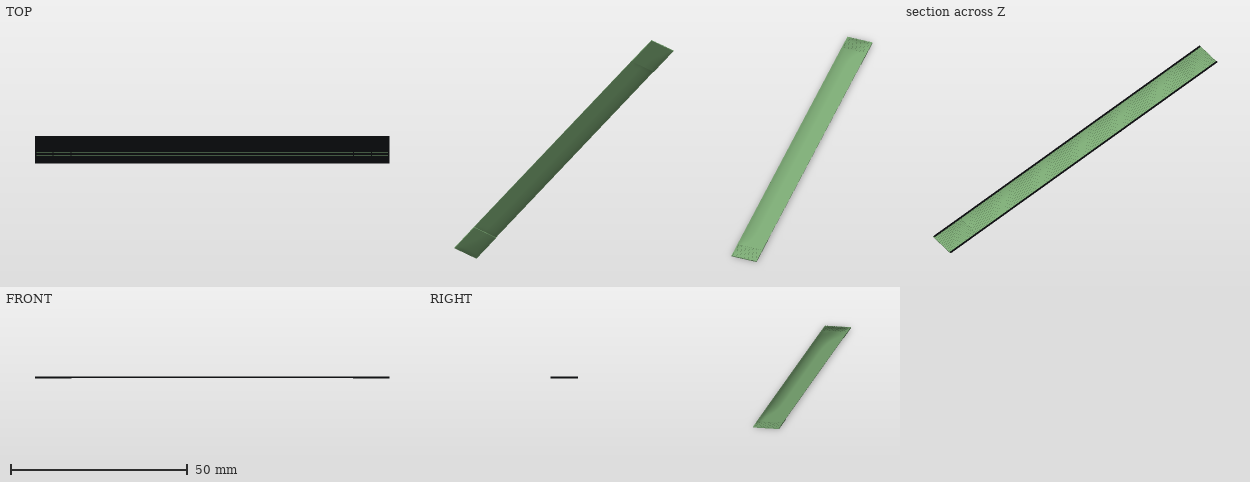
import cadquery as cq

cable_length = 100.0
conductor_count = 14
conductor_pitch = 0.5
conductor_width = 0.3
cable_width = (conductor_count + 1) * conductor_pitch

exposed_length = 5.0
stiffener_length = 10.0

total_thickness = 0.36
stiffener_thickness = 0.225
conductor_thickness = 0.05
film_thickness = (total_thickness - stiffener_thickness - conductor_thickness) / 2

bottom_z = -total_thickness / 2
lower_film_z = bottom_z + stiffener_thickness
conductor_z = lower_film_z + film_thickness
cover_z = conductor_z + conductor_thickness


def layer(length, width, thickness, bottom):
    """Flat rectangular layer centred on the Z axis with its underside at the given height."""
    block = cq.Workplane("XY").box(length, width, thickness, centered=(True, True, False))
    return block.translate((0, 0, bottom))


def insulation():
    """Full-length base film and a shorter cover film that leaves both ends bare."""
    base = layer(cable_length, cable_width, film_thickness + conductor_thickness, lower_film_z)
    cover_length = cable_length - 2 * exposed_length
    cover = layer(cover_length, cable_width, film_thickness, cover_z)
    return base.union(cover)


def stiffener(end):
    """Backing plate under one end of the cable (end is -1 or +1)."""
    plate = layer(stiffener_length, cable_width, stiffener_thickness, bottom_z)
    return plate.translate((end * (cable_length - stiffener_length) / 2, 0, 0))


def conductor_channel(index):
    """Full-length channel for one conductor, open at the bare ends and covered between them."""
    channel = layer(cable_length, conductor_width, conductor_thickness, conductor_z)
    return channel.translate((0, (index - (conductor_count - 1) / 2) * conductor_pitch, 0))


cable = insulation()
for end in (-1, 1):
    cable = cable.union(stiffener(end))
for index in range(conductor_count):
    cable = cable.cut(conductor_channel(index))

result = cable